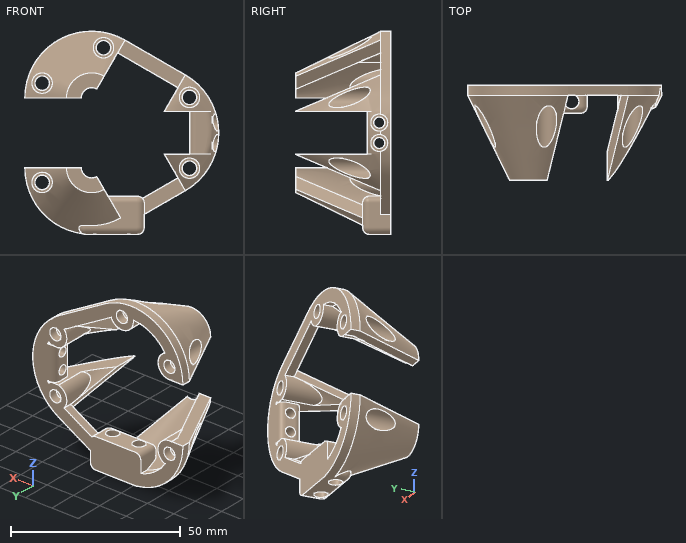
import cadquery as cq
import math


ROUND_RADIUS = 19.7
CORNER_SPACING = 20.48
WALL = 4.4
FRAME_DEPTH = 3.0
TOTAL_DEPTH = 28.0
TIP_RADIUS = 7.4
SECTOR_ANGLE = 120.0

SCREW_DIAMETER = 4.2
HEAD_DIAMETER = 6.0
HEAD_SEAT_DEPTH = 3.0
BOSS_RADIUS = 4.35
SCREW_CIRCLE_RADIUS = 15.2
SCREW_EDGE_ANGLE = 16.7

SLOT_WIDTH = 12.5
BLOCK_FILLET = 2.0

SIDE_BLOCK_DEPTH = 7.0
SIDE_BLOCK_INSET = 8.6
PIN_DIAMETER = 3.2
PIN_HEAD_DIAMETER = 5.0
PIN_HEAD_DEPTH = 2.0
PIN_SPACING = 6.0
PIN_HOLE_DEPTH = 3.4

LOW_BLOCK_LENGTH = 19.2
LOW_BLOCK_HEIGHT = 11.3
LOW_BLOCK_DEPTH = 8.3
LOW_BLOCK_OFFSET = 5.9
LOW_HOLE_SPACING = 10.0
LOW_HOLE_DEPTH = 4.8

INNER_RADIUS = ROUND_RADIUS - WALL
BORE_RADIUS = TIP_RADIUS - WALL
HALF_SPACING = CORNER_SPACING / 2
TRIANGLE_WIDTH = CORNER_SPACING * math.cos(math.radians(30))
CLEARANCE = 1.0

UPPER_CENTRE = (0.0, HALF_SPACING)
LOWER_CENTRE = (0.0, -HALF_SPACING)
RIGHT_CENTRE = (TRIANGLE_WIDTH, 0.0)
UPPER_START = 60.0
LOWER_START = 180.0
RIGHT_START = -60.0
RIGHT_END_X = TRIANGLE_WIDTH + ROUND_RADIUS
BOTTOM_Z = -HALF_SPACING - ROUND_RADIUS


def polar(centre, radius, angle):
    """Point (x, z) at a radius and angle from a centre."""
    a = math.radians(angle)
    return (centre[0] + radius * math.cos(a), centre[1] + radius * math.sin(a))


def box(x_range, z_range, depth_range):
    """Axis-aligned box given by its ranges in X, Z and depth."""
    return (
        cq.Workplane("XZ", origin=(0, -depth_range[0], 0))
        .moveTo(x_range[0], z_range[0])
        .lineTo(x_range[1], z_range[0])
        .lineTo(x_range[1], z_range[1])
        .lineTo(x_range[0], z_range[1])
        .close()
        .extrude(depth_range[1] - depth_range[0])
    )


def cylinder(centre, radius, depth_start, depth_end):
    """Cylinder along Y between two depths."""
    return (
        cq.Workplane("XZ", origin=(0, -depth_start, 0))
        .center(*centre)
        .circle(radius)
        .extrude(depth_end - depth_start)
    )


def revolved_sector(profile, centre, start, sweep=SECTOR_ANGLE):
    """Sweep a (radius, depth) outline about the Y direction through a centre."""
    return (
        cq.Workplane("XY")
        .polyline([(radius, -depth) for radius, depth in profile])
        .close()
        .revolve(sweep, (0, 0, 0), (0, -1, 0))
        .rotate((0, 0, 0), (0, -1, 0), start)
        .translate((centre[0], 0, centre[1]))
    )


def core_sector(centre, start):
    """Solid sector that ends halfway through the wall of the conical shell."""
    inset = WALL / 2
    outline = [
        (0, 0),
        (ROUND_RADIUS - inset, 0),
        (ROUND_RADIUS - inset, FRAME_DEPTH),
        (TIP_RADIUS - inset, TOTAL_DEPTH),
        (0, TOTAL_DEPTH),
    ]
    return revolved_sector(outline, centre, start)


def hollow_sector(centre, start):
    """Sector of the conical shell with its short cylindrical rim."""
    outline = [
        (INNER_RADIUS, 0),
        (ROUND_RADIUS, 0),
        (ROUND_RADIUS, FRAME_DEPTH),
        (TIP_RADIUS, TOTAL_DEPTH),
        (BORE_RADIUS, TOTAL_DEPTH),
        (INNER_RADIUS, FRAME_DEPTH),
    ]
    return revolved_sector(outline, centre, start)


def screwed_sector(centre, start, screw_angles):
    """Conical shell with a boss, a screw hole and a head recess at each angle."""
    shell = hollow_sector(centre, start)
    for angle in screw_angles:
        place = polar(centre, SCREW_CIRCLE_RADIUS, angle)
        boss = cylinder(place, BOSS_RADIUS, 0, TOTAL_DEPTH)
        shell = shell.union(boss.intersect(core_sector(centre, start)))
    for angle in screw_angles:
        place = polar(centre, SCREW_CIRCLE_RADIUS, angle)
        shell = shell.cut(cylinder(place, SCREW_DIAMETER / 2, -CLEARANCE, TOTAL_DEPTH))
        shell = shell.cut(cylinder(place, HEAD_DIAMETER / 2, HEAD_SEAT_DEPTH, TOTAL_DEPTH))
    return shell


def link(corner, angle):
    """Straight frame bar leaving the right corner, tangent to the outer rounds."""
    bar = box((INNER_RADIUS, ROUND_RADIUS), (-HALF_SPACING, HALF_SPACING), (0, FRAME_DEPTH))
    middle = ((corner[0] + RIGHT_CENTRE[0]) / 2, (corner[1] + RIGHT_CENTRE[1]) / 2)
    return bar.rotate((0, 0, 0), (0, -1, 0), angle).translate((middle[0], 0, middle[1]))


def split_right_sector():
    """Right sector with the slot that separates it into two prongs."""
    first = RIGHT_START + SCREW_EDGE_ANGLE
    sector = screwed_sector(RIGHT_CENTRE, RIGHT_START, (first, -first))
    half = SLOT_WIDTH / 2
    x_range = (TRIANGLE_WIDTH, RIGHT_END_X + CLEARANCE)
    slot = box(x_range, (-half, half), (-CLEARANCE, TOTAL_DEPTH + CLEARANCE))
    return sector.cut(slot)


def side_block():
    """Block across the slot, following the cone outside, with two pin holes."""
    inner_x = RIGHT_END_X - SIDE_BLOCK_INSET
    half = SLOT_WIDTH / 2
    cone_slope = (ROUND_RADIUS - TIP_RADIUS) / (TOTAL_DEPTH - FRAME_DEPTH)
    side_radius = ROUND_RADIUS - cone_slope * (SIDE_BLOCK_DEPTH - FRAME_DEPTH)
    outline = [
        (0, 0),
        (ROUND_RADIUS, 0),
        (ROUND_RADIUS, FRAME_DEPTH),
        (side_radius, SIDE_BLOCK_DEPTH),
        (0, SIDE_BLOCK_DEPTH),
    ]
    block = revolved_sector(outline, RIGHT_CENTRE, RIGHT_START)
    block = block.faces("<Y").edges("%CIRCLE").fillet(BLOCK_FILLET)
    x_range = (inner_x, RIGHT_END_X + CLEARANCE)
    block = block.intersect(box(x_range, (-half, half), (0, SIDE_BLOCK_DEPTH)))
    block = block.faces("<X").edges("|Z").fillet(BLOCK_FILLET)
    for z in (-PIN_SPACING / 2, PIN_SPACING / 2):
        face = cq.Workplane("YZ", origin=(RIGHT_END_X, -PIN_HOLE_DEPTH, z))
        block = block.cut(face.circle(PIN_DIAMETER / 2).extrude(-SIDE_BLOCK_INSET))
        block = block.cut(face.circle(PIN_HEAD_DIAMETER / 2).extrude(-PIN_HEAD_DEPTH))
    return block


def low_block():
    """Rounded block at the bottom."""
    half = LOW_BLOCK_LENGTH / 2
    x_range = (LOW_BLOCK_OFFSET - half, LOW_BLOCK_OFFSET + half)
    block = box(x_range, (BOTTOM_Z, BOTTOM_Z + LOW_BLOCK_HEIGHT), (0, LOW_BLOCK_DEPTH))
    return block.edges("|Y or <Y").fillet(BLOCK_FILLET)


def low_block_holes():
    """Two vertical screw holes through the bottom block."""
    half = LOW_HOLE_SPACING / 2
    places = [(LOW_BLOCK_OFFSET + side * half, -LOW_HOLE_DEPTH) for side in (-1, 1)]
    return (
        cq.Workplane("XY", origin=(0, 0, BOTTOM_Z - CLEARANCE))
        .pushPoints(places)
        .circle(SCREW_DIAMETER / 2)
        .extrude(LOW_BLOCK_HEIGHT + 2 * CLEARANCE)
    )


upper_first = UPPER_START + SCREW_EDGE_ANGLE
upper_last = UPPER_START + SECTOR_ANGLE - SCREW_EDGE_ANGLE
lower_first = LOWER_START + SCREW_EDGE_ANGLE

result = (
    screwed_sector(UPPER_CENTRE, UPPER_START, (upper_first, upper_last))
    .union(screwed_sector(LOWER_CENTRE, LOWER_START, (lower_first,)))
    .union(split_right_sector())
    .union(link(UPPER_CENTRE, UPPER_START))
    .union(link(LOWER_CENTRE, RIGHT_START))
    .union(side_block())
    .union(low_block())
    .cut(low_block_holes())
)